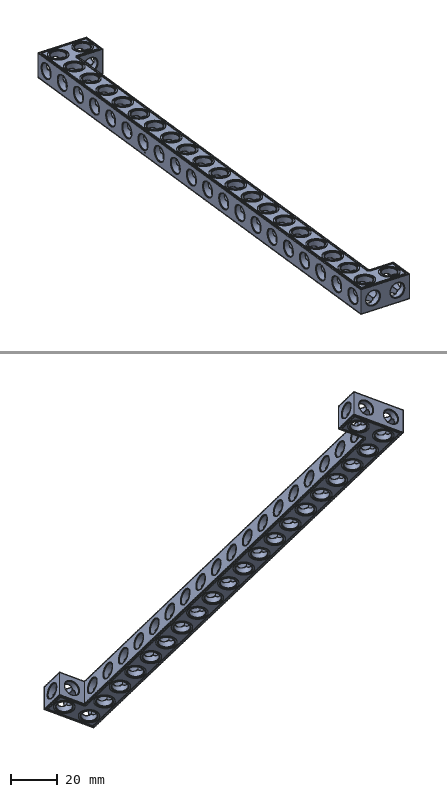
import cadquery as cq

pitch = 12.5
length_cells = 20
arm_cells = 2
hole_diameter = 7.0
chamfer = 0.3
rim_width = 1.1
panel_depth = 0.2

length = length_cells * pitch
depth = arm_cells * pitch
height = pitch
half_cell = pitch / 2
lip_diameter = hole_diameter + 2 * rim_width

column_centers = [half_cell + pitch * i for i in range(length_cells)]
row_centers = [half_cell + pitch * i for i in range(arm_cells)]
end_columns = (column_centers[0], column_centers[-1])

beam_points = [(x, row_centers[0]) for x in column_centers]
arm_points = [(x, y) for y in row_centers[1:] for x in end_columns]
vertical_hole_points = beam_points + arm_points


def outline(z):
    """Shallow U at height z: a long beam with one short arm at each end."""
    corners = [
        (0, 0),
        (length, 0),
        (length, depth),
        (length - pitch, depth),
        (length - pitch, pitch),
        (pitch, pitch),
        (pitch, depth),
        (0, depth),
    ]
    return cq.Workplane("XY", origin=(0, 0, z)).polyline(corners).close()


def make_body():
    """Solid U with its top and bottom edges chamfered."""
    return outline(0).extrude(height).faces("<Z or >Z").edges().chamfer(chamfer)


def make_panel_cutter(z):
    """Shallow recess inside the outline lip, sparing the lips around the holes."""
    lips = (
        cq.Workplane("XY", origin=(0, 0, z))
        .pushPoints(vertical_hole_points)
        .circle(lip_diameter / 2)
        .extrude(panel_depth)
    )
    return outline(z).offset2D(-rim_width).extrude(panel_depth).cut(lips)


def make_hole_cutters(start, direction, hole_length):
    """Round through hole with a chamfered mouth at both ends."""
    near = cq.Vector(*start)
    axis = cq.Vector(*direction)
    far = near + axis * hole_length
    radius = hole_diameter / 2
    mouth_radius = radius + chamfer
    return [
        cq.Solid.makeCylinder(radius, hole_length, near, axis),
        cq.Solid.makeCone(mouth_radius, radius, chamfer, near, axis),
        cq.Solid.makeCone(mouth_radius, radius, chamfer, far, axis * -1),
    ]


cutters = []

for x, y in vertical_hole_points:
    cutters += make_hole_cutters((x, y, 0), (0, 0, 1), height)

for x in column_centers:
    hole_length = depth if x in end_columns else pitch
    cutters += make_hole_cutters((x, 0, half_cell), (0, 1, 0), hole_length)

cutters += make_hole_cutters((0, row_centers[0], half_cell), (1, 0, 0), length)

for y in row_centers[1:]:
    for x in end_columns:
        cutters += make_hole_cutters((x - half_cell, y, half_cell), (1, 0, 0), pitch)

for z in (0, height - panel_depth):
    cutters.append(make_panel_cutter(z).val())

result = cq.Workplane(obj=make_body().val().cut(*cutters)).solids()